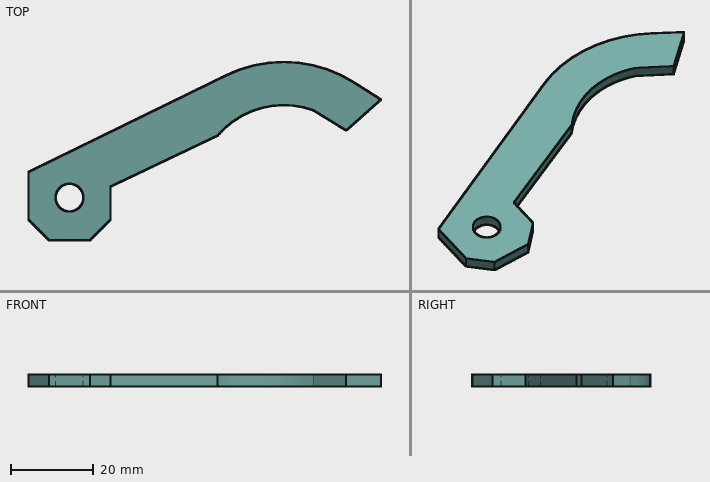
import cadquery as cq
import math

thickness = 3.0
pivot_width = 20.0
corner_cut = pivot_width / 4
left_edge_top = 16.7
right_edge_top = 13.1
hole_diameter = 6.7
hole_x = pivot_width / 2
hole_y = 10.4

length = 86.0
height = 43.5
outer_radius = 31.8
inner_radius = 21.2
arc_centre_x = 62.25
arc_centre_y = height - outer_radius
outer_arc_start_x = 48.3
outer_arc_end_x = 79.4
inner_arc_start_x = 46.1
inner_arc_end_x = 69.5
tip_outer = (length, 34.3)
tip_inner = (77.5, 26.7)


def point_on_arc(radius, x):
    """Point at x on the upper half of a hook arc."""
    return (x, arc_centre_y + math.sqrt(radius**2 - (x - arc_centre_x) ** 2))


def arc_crown(radius):
    """Highest point of a hook arc."""
    return (arc_centre_x, arc_centre_y + radius)


def make_plate():
    """Flat lever: cut-cornered pivot end, straight arm and curved hook."""
    return (
        cq.Workplane("XY")
        .moveTo(corner_cut, 0)
        .lineTo(pivot_width - corner_cut, 0)
        .lineTo(pivot_width, corner_cut)
        .lineTo(pivot_width, right_edge_top)
        .lineTo(*point_on_arc(inner_radius, inner_arc_start_x))
        .threePointArc(arc_crown(inner_radius), point_on_arc(inner_radius, inner_arc_end_x))
        .lineTo(*tip_inner)
        .lineTo(*tip_outer)
        .lineTo(*point_on_arc(outer_radius, outer_arc_end_x))
        .threePointArc(arc_crown(outer_radius), point_on_arc(outer_radius, outer_arc_start_x))
        .lineTo(0, left_edge_top)
        .lineTo(0, corner_cut)
        .close()
        .extrude(thickness)
    )


def make_pivot_hole():
    """Round hole through the pivot end."""
    return cq.Workplane("XY").center(hole_x, hole_y).circle(hole_diameter / 2).extrude(thickness)


result = make_plate().cut(make_pivot_hole())